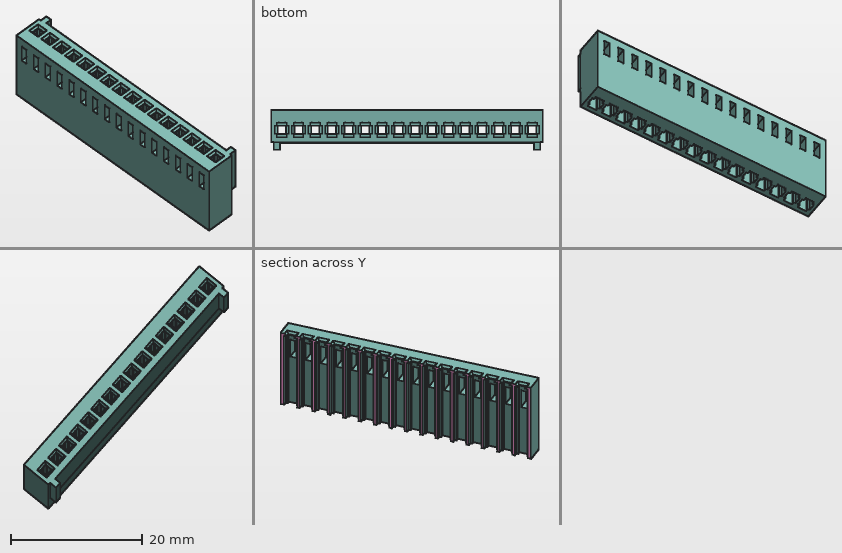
import cadquery as cq

length = 41.36
height = 12.8
body_depth = 4.9

upper_base_z = 4.9
pad_depth = 5.1
rail_depth = 6.1
rail_width = 1.0
rail_inset = 0.38

contact_count = 16
pitch = 2.54
cavity_y = 3.05

mouth_width = 1.9
mouth_depth = 0.35
throat_width = 1.2
throat_length = 0.15

chamber_x_span = 2.1
chamber_y_span = 2.2
chamber_y_arm_width = 1.5

window_width = 1.0
window_height = 3.0
window_top_gap = 1.65

upper_height = height - upper_base_z
chamber_height = height - mouth_depth - throat_length
window_base_z = height - window_top_gap - window_height


def box_from(x_center, y_front, z_base, width, depth, tall):
    """Box centred on x_center, growing toward +Y and +Z."""
    return (
        cq.Workplane("XY")
        .box(width, depth, tall, centered=(True, False, False))
        .translate((x_center, y_front, z_base))
    )


def cavity_shaft(x_center, width, depth, tall):
    """Upright box on a cavity's axis, rising from the bottom face."""
    return box_from(x_center, cavity_y - depth / 2, 0, width, depth, tall)


def housing():
    """Block with the raised back pad and its two end rails."""
    block = box_from(0, 0, 0, length, body_depth, height)
    pad_length = length - 2 * rail_inset
    block = block.union(box_from(0, 0, upper_base_z, pad_length, pad_depth, upper_height))
    rail_x = (pad_length - rail_width) / 2
    for side in (-1, 1):
        rail = box_from(side * rail_x, 0, upper_base_z, rail_width, rail_depth, upper_height)
        block = block.union(rail)
    return block


def tapered_mouth(x_center):
    """Square funnel narrowing from the top face to the throat."""
    return (
        cq.Workplane("XY", origin=(x_center, cavity_y, height))
        .rect(mouth_width, mouth_width)
        .workplane(offset=-mouth_depth)
        .rect(throat_width, throat_width)
        .loft(ruled=True)
    )


def contact_cavity(x_center):
    """Mouth, throat and cross-shaped chamber, with a window to the front face."""
    throat = cavity_shaft(x_center, throat_width, throat_width, height)
    x_arms = cavity_shaft(x_center, chamber_x_span, throat_width, chamber_height)
    y_arms = cavity_shaft(x_center, chamber_y_arm_width, chamber_y_span, chamber_height)
    window = box_from(x_center, 0, window_base_z, window_width, cavity_y, window_height)
    return throat.union(tapered_mouth(x_center)).union(x_arms).union(y_arms).union(window)


result = housing()
first_x = -pitch * (contact_count - 1) / 2
for index in range(contact_count):
    result = result.cut(contact_cavity(first_x + index * pitch))